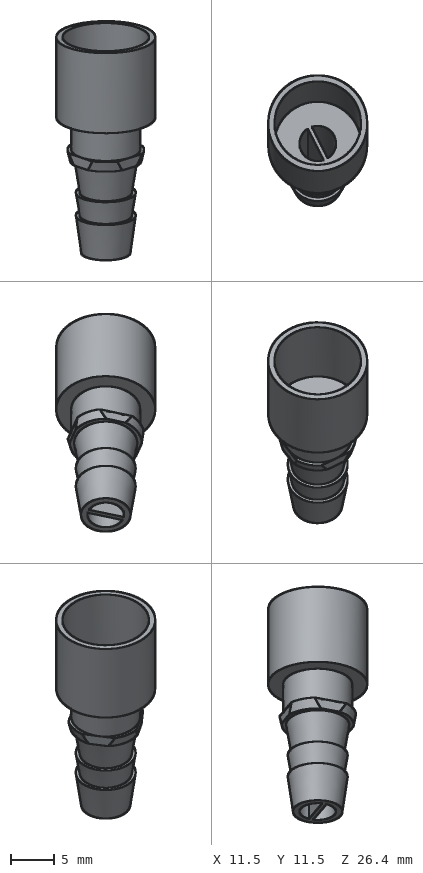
import cadquery as cq

total_height = 26.4
socket_radius = 5.75
socket_bore_radius = 5.02
socket_bottom = 16.58
socket_floor = socket_radius - socket_bore_radius
neck_radius = 4.0

collar_top = 12.6
collar_bottom = 11.33
collar_top_radius = 4.45
collar_bottom_radius = 4.17

shank_top_radius = 3.67
barb_radius = 3.48
barb_root_radius = 3.04
tip_radius = 2.88
upper_barb_top = 7.35
lower_barb_top = 4.55

passage_radius = 2.1
web_thickness = 0.53


def cone(bottom, top, bottom_radius, top_radius):
    """Solid frustum on the Z axis, running between two heights."""
    profile = [(0, bottom), (bottom_radius, bottom), (top_radius, top), (0, top)]
    return cq.Workplane("XZ").polyline(profile).close().revolve(360, (0, 0), (0, 1))


def cylinder(bottom, top, radius):
    return cq.Workplane("XY").workplane(offset=bottom).circle(radius).extrude(top - bottom)


def make_collar():
    """Tapered collar trimmed by flats that are tangent to the neck."""
    flats = (
        cq.Workplane("XY")
        .workplane(offset=collar_bottom)
        .rect(2 * neck_radius, 2 * neck_radius)
        .extrude(collar_top - collar_bottom)
    )
    return cone(collar_bottom, collar_top, collar_bottom_radius, collar_top_radius).intersect(flats)


def make_tail():
    lower_barb = cone(0, lower_barb_top, tip_radius, barb_radius)
    upper_barb = cone(lower_barb_top, upper_barb_top, barb_root_radius, barb_radius)
    shank = cone(upper_barb_top, collar_bottom, barb_root_radius, shank_top_radius)
    return lower_barb.union(upper_barb).union(shank)


def make_passage():
    """Two half-round channels, with the web left standing between them."""
    floor_top = socket_bottom + socket_floor
    web = (
        cq.Workplane("XY")
        .rect(web_thickness, 2 * socket_radius)
        .extrude(floor_top)
    )
    return cylinder(0, floor_top, passage_radius).cut(web)


socket = cylinder(socket_bottom, total_height, socket_radius)
neck = cylinder(collar_top, socket_bottom, neck_radius)
socket_bore = cylinder(socket_bottom + socket_floor, total_height, socket_bore_radius)

body = make_tail().union(make_collar()).union(neck).union(socket)
result = body.cut(socket_bore).cut(make_passage())